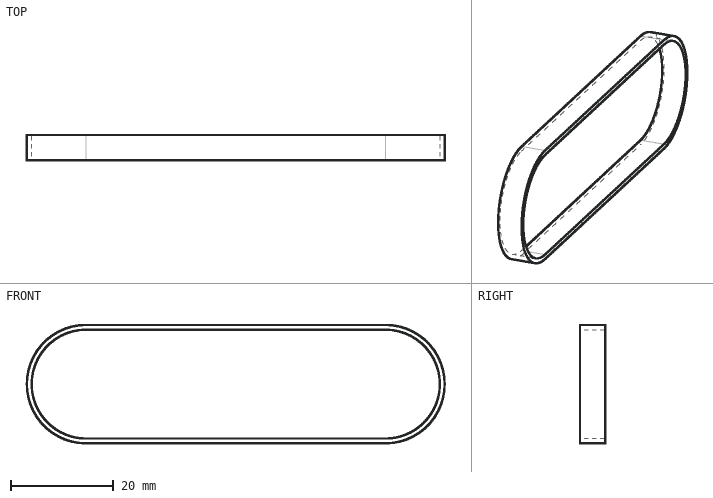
import cadquery as cq

length = 81.3
height = 23.1
width = 5.0
wall = 1.0


def slot_prism(slot_length, slot_height):
    """Round-ended bar in the XZ plane, centred on the origin."""
    return cq.Workplane("XZ").slot2D(slot_length, slot_height).extrude(width / 2, both=True)


outer = slot_prism(length, height)
opening = slot_prism(length - 2 * wall, height - 2 * wall)
result = outer.cut(opening)